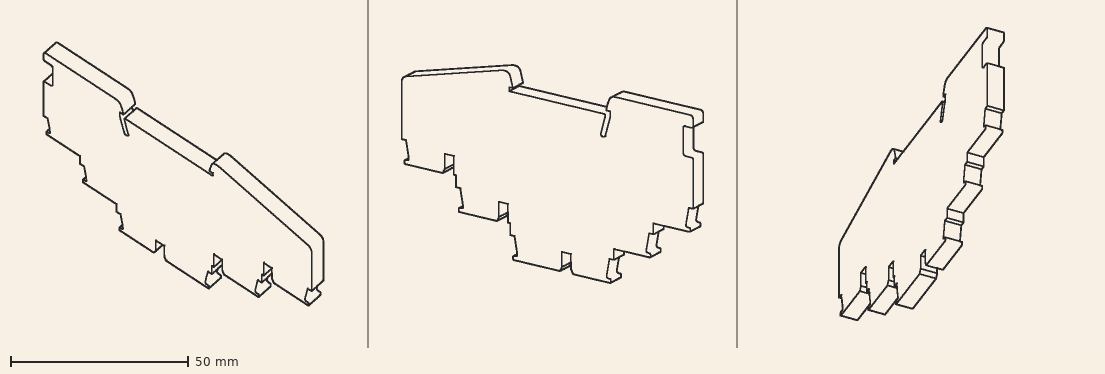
import cadquery as cq
import math

length = 99.6
thickness = 5.2
height = 56.5
lean_angle = 15.0
lean = math.tan(math.radians(lean_angle))

tier_count = 3
tier_rise = 10.6
left_tier_run = 13.5
right_tier_run = 18.5
hook_height = 7.3
lip_height = 1.3
lip_inset = 1.0
neck_top_inset = 1.5
neck_foot_inset = 2.6
lip_radius = 0.4
neck_radius = 0.6

slot_width = 3.1
slot_height = 6.0
slot_step = 0.7
slot_step_rise = 0.3
bottom_slot_x = 41.7
mouth_chamfer_width = 0.7
mouth_chamfer_height = 1.4

notch_depth = 3.4
notch_bottom = 43.7
notch_top = 52.7
outer_top_radius = 1.1
notch_upper_radius = 0.6
notch_inner_radius = 0.9
notch_lower_radius = 0.5

shelf_z = 50.6
lug_z = 51.8
lug_overhang = 1.3
left_lug_x = 29.7
right_lug_x = 61.6
left_head_x = 28.0
left_flank_bulge = 0.3
groove_x = 30.1
groove_width = 1.6
groove_bottom = 43.6
groove_straight_z = 49.8
groove_radius = 0.7
shelf_radius = 0.5
left_head_radius = 2.0
right_head_radius = 1.9

roof_end_z = 47.2
roof_end_radius = 2.0


def hook(wall_x, floor_z, inward):
    """Hook corners from the shoulder wall down to the lip; inward is +1 or -1."""
    neck_foot_x = wall_x + inward * neck_foot_inset
    lip_x = wall_x + inward * lip_inset
    return [
        (wall_x, floor_z + hook_height),
        (wall_x + inward * neck_top_inset, floor_z + hook_height),
        (neck_foot_x, floor_z + lip_height),
        (lip_x, floor_z + lip_height),
        (lip_x, floor_z),
    ]


def left_steps():
    """Left hooks from the top tier down to the bottom one."""
    points = []
    for tier in range(tier_count):
        wall_x = tier * left_tier_run
        floor_z = (tier_count - 1 - tier) * tier_rise
        if tier > 0:
            points.append((wall_x, floor_z + tier_rise))
        points += hook(wall_x, floor_z, 1)
    return points


def slot_mouth(wall_x, floor_z, side):
    """Slot wall and its mouth chamfer; side is -1 for the left wall, +1 for the right."""
    return [
        (wall_x + side * mouth_chamfer_width, floor_z),
        (wall_x, floor_z + mouth_chamfer_height),
        (wall_x, floor_z + slot_height),
    ]


def bottom_slot():
    """Slot in the bottom tier, from left to right, chamfered on both sides."""
    left_wall = slot_mouth(bottom_slot_x, 0, -1)
    right_wall = slot_mouth(bottom_slot_x + slot_width, 0, 1)
    return left_wall + right_wall[::-1]


def right_steps():
    """Right hooks from the bottom tier up, with a slot beside each upper tier."""
    points = []
    for tier in range(tier_count):
        wall_x = length - (tier_count - 1 - tier) * right_tier_run
        floor_z = tier * tier_rise
        points += hook(wall_x, floor_z, -1)[::-1]
        if tier < tier_count - 1:
            next_floor = floor_z + tier_rise
            slot_x = wall_x + slot_step
            points += [
                (wall_x, next_floor + slot_step_rise),
                (slot_x, next_floor + slot_step_rise),
                (slot_x, next_floor + slot_height),
            ]
            points += slot_mouth(slot_x + slot_width, next_floor, 1)[::-1]
    return points


roof_end = (length, roof_end_z)
roof_start = (length - (height - roof_end_z) / lean, height)
right_head = (right_lug_x + (height - lug_z) * lean, height)
shelf_start = (groove_x - (shelf_z - groove_straight_z) * lean, shelf_z)
groove_drop = (groove_straight_z - groove_bottom) * lean
groove_right = (groove_x + groove_drop, groove_bottom)
groove_left = (groove_right[0] - groove_width, groove_bottom)
left_groove_x = left_lug_x - lug_overhang
left_head = (left_head_x, height)

top_edge = [
    roof_end,
    roof_start,
    right_head,
    (right_lug_x, lug_z),
    (right_lug_x + lug_overhang, lug_z),
    (right_lug_x + lug_overhang, shelf_z),
    shelf_start,
    groove_right,
    groove_left,
    (left_groove_x, groove_straight_z),
    (left_groove_x, lug_z),
    (left_lug_x, lug_z),
]
notch = [
    (0, height),
    (0, notch_top),
    (notch_depth, notch_top),
    (notch_depth, notch_bottom),
    (0, notch_bottom),
]

outline = [left_head] + notch + left_steps() + bottom_slot() + right_steps() + top_edge
plate = (
    cq.Workplane("XZ")
    .polyline(outline)
    .sagittaArc(left_head, -left_flank_bulge)
    .close()
    .extrude(thickness / 2, both=True)
)

rounded_corners = [
    (roof_end, roof_end_radius),
    (right_head, right_head_radius),
    (shelf_start, shelf_radius),
    (groove_right, groove_radius),
    (groove_left, groove_radius),
    (left_head, left_head_radius),
    (notch[0], outer_top_radius),
    (notch[1], notch_upper_radius),
    (notch[2], notch_upper_radius),
    (notch[3], notch_inner_radius),
    (notch[4], notch_lower_radius),
]
for tier in range(tier_count):
    floor_z = tier * tier_rise
    tiers_above = tier_count - 1 - tier
    left_hook = hook(tiers_above * left_tier_run, floor_z, 1)
    right_hook = hook(length - tiers_above * right_tier_run, floor_z, -1)
    for _, _, neck_foot, lip_top, lip_bottom in (left_hook, right_hook):
        rounded_corners += [
            (neck_foot, neck_radius),
            (lip_top, lip_radius),
            (lip_bottom, lip_radius),
        ]

for (x, z), radius in rounded_corners:
    plate = plate.edges(cq.selectors.NearestToPointSelector((x, 0, z))).fillet(radius)

result = plate